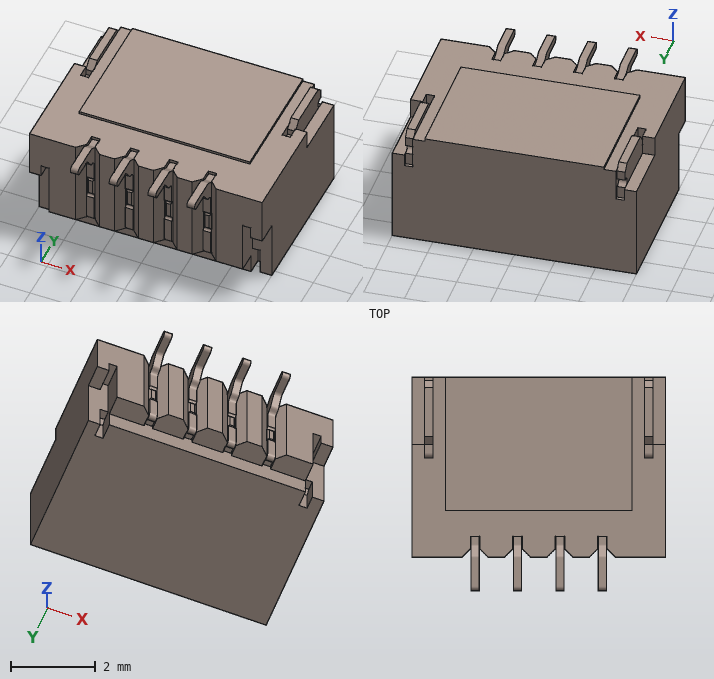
import cadquery as cq


WIDTH = 6.0
DEPTH = 4.26
HEIGHT = 2.84

PAD_WIDTH = 4.4
PAD_FRONT_Y = 1.11
PAD_HEIGHT = 0.065

UNDERCUT_DEPTH = 0.5
UNDERCUT_HEIGHT = 0.505

TAB_THICKNESS = 0.205
TAB_SIDE_MARGIN = 0.3
TAB_TOP = 2.95
TAB_BOTTOM = 2.05
TAB_BACK_GAP = 0.085
TAB_BACK_CHAMFER = 0.155
TAB_FRONT_CHAMFER = 0.2
TAB_FOOT_FRONT_Y = 2.345
TAB_FOOT_HEIGHT = 0.54
TAB_FOOT_RADIUS = 0.12
TAB_NOTCH_RADIUS = 0.11
TAB_NOTCH_Y = 4.115

SIDE_CUTOUT_FRONT_Y = 2.665
SIDE_CUTOUT_FLOOR = 2.35

CORNER_RECESS_DEPTH = 0.57
CORNER_OUTER_HEIGHT = 1.595
CORNER_INNER_HEIGHT = 1.91
CORNER_SLOT_HEIGHT = 0.695
CORNER_SLOT_BACK_Y = 0.9
CORNER_SLOT_CHAMFER = 0.11

PIN_COUNT = 4
PIN_PITCH = 1.0
PIN_WIDTH = 0.2
PIN_SLOT_WIDTH = 0.215
PIN_SLOT_DEPTH = UNDERCUT_DEPTH
V_MOUTH_WIDTH = 0.62
V_DEPTH = (V_MOUTH_WIDTH - PIN_SLOT_WIDTH) / 2

PIN_REACH = 0.79
PIN_TOP = 2.92
PIN_THICKNESS = 0.2
PIN_FACE_Y = 0.155
PIN_BACK_TOP = 2.76
PIN_RAMP_BOTTOM_Y = 0.27
PIN_RAMP_TOP_Y = 0.02
PIN_BEND_FILLET = 0.11
PIN_GUSSET_TAIL_Y = -0.24
PIN_GUSSET_BEND_Y = -0.02
PIN_GUSSET_BEND_Z = 2.43
PIN_GUSSET_BOTTOM_Z = 2.39

WAIST_TOP = 1.81
WAIST_BOTTOM = 1.23
WAIST_GROOVE_HEIGHT = 0.085
WAIST_GROOVE_RADIUS = 0.055
WAIST_SETBACK = 0.025
RIDGE_WIDTH = 0.1
RIDGE_CHAMFER = (PIN_WIDTH - RIDGE_WIDTH) / 2

EDGE_TOLERANCE = 0.005

SIDE_X = WIDTH / 2
TAB_OUTER_X = SIDE_X - TAB_SIDE_MARGIN
TAB_INNER_X = TAB_OUTER_X - TAB_THICKNESS
TAB_BACK_Y = DEPTH - TAB_BACK_GAP
PIN_XS = [(i - (PIN_COUNT - 1) / 2) * PIN_PITCH for i in range(PIN_COUNT)]


def box(x0, x1, y0, y1, z0, z1):
    """Block spanning the given coordinate ranges."""
    return cq.Workplane("XY").box(x1 - x0, y1 - y0, z1 - z0, centered=False).translate((x0, y0, z0))


def side_plate(outline, x0, x1):
    """Extrude a (Y, Z) outline from x0 to x1."""
    return cq.Workplane("YZ").polyline(outline).close().extrude(x1 - x0).translate((x0, 0, 0))


def cross_rod(radius, y, z, x0, x1):
    """Cylinder along X."""
    return cq.Workplane("YZ").center(y, z).circle(radius).extrude(x1 - x0).translate((x0, 0, 0))


def pin_slot():
    """Cutter for one pin slot, with its 45 degree mouth, centred on X = 0."""
    half_mouth = V_MOUTH_WIDTH / 2
    half_slot = PIN_SLOT_WIDTH / 2
    outline = [
        (-half_mouth, 0),
        (-half_slot, V_DEPTH),
        (-half_slot, PIN_SLOT_DEPTH),
        (half_slot, PIN_SLOT_DEPTH),
        (half_slot, V_DEPTH),
        (half_mouth, 0),
    ]
    return cq.Workplane("XY").polyline(outline).close().extrude(HEIGHT)


def tab_slot():
    """Cutter for the +X tab slot and the side cutout outside it."""
    slot = box(TAB_INNER_X, TAB_OUTER_X, TAB_FOOT_FRONT_Y, DEPTH, TAB_BOTTOM, HEIGHT)
    cutout = box(TAB_OUTER_X, SIDE_X, SIDE_CUTOUT_FRONT_Y, DEPTH, SIDE_CUTOUT_FLOOR, HEIGHT)
    return slot.union(cutout)


def corner_recess():
    """Cutter for the +X lower front corner."""
    outer = box(TAB_OUTER_X, SIDE_X, 0, CORNER_RECESS_DEPTH, 0, CORNER_OUTER_HEIGHT)
    inner = box(TAB_INNER_X, TAB_OUTER_X, 0, CORNER_RECESS_DEPTH, 0, CORNER_INNER_HEIGHT)
    slot_outline = [
        (0, 0),
        (CORNER_SLOT_BACK_Y, 0),
        (CORNER_SLOT_BACK_Y, CORNER_SLOT_HEIGHT - CORNER_SLOT_CHAMFER),
        (CORNER_SLOT_BACK_Y - CORNER_SLOT_CHAMFER, CORNER_SLOT_HEIGHT),
        (0, CORNER_SLOT_HEIGHT),
    ]
    return outer.union(inner).union(side_plate(slot_outline, TAB_INNER_X, TAB_OUTER_X))


def waist_cutter():
    """Cutter that leaves a chamfered ridge and two grooves in the pin face."""
    half_pin = PIN_WIDTH / 2
    half_ridge = RIDGE_WIDTH / 2
    ridge_y = PIN_FACE_Y + WAIST_SETBACK
    outline = [
        (-half_pin, PIN_FACE_Y),
        (-half_pin, ridge_y + RIDGE_CHAMFER),
        (-half_ridge, ridge_y),
        (half_ridge, ridge_y),
        (half_pin, ridge_y + RIDGE_CHAMFER),
        (half_pin, PIN_FACE_Y),
    ]
    cutter = (
        cq.Workplane("XY")
        .polyline(outline)
        .close()
        .extrude(WAIST_TOP - WAIST_BOTTOM - WAIST_GROOVE_HEIGHT)
        .translate((0, 0, WAIST_BOTTOM + WAIST_GROOVE_HEIGHT / 2))
    )
    for groove_top in (WAIST_TOP, WAIST_BOTTOM + WAIST_GROOVE_HEIGHT):
        groove_z = groove_top - WAIST_GROOVE_HEIGHT / 2
        cutter = cutter.union(cross_rod(WAIST_GROOVE_RADIUS, PIN_FACE_Y, groove_z, -half_pin, half_pin))
    return cutter


def pin_edge_at(y, z):
    """Selector for the pin edge that runs across its width at the given corner of its profile."""
    low = (-PIN_WIDTH, y - EDGE_TOLERANCE, z - EDGE_TOLERANCE)
    high = (PIN_WIDTH, y + EDGE_TOLERANCE, z + EDGE_TOLERANCE)
    return cq.selectors.BoxSelector(low, high)


def pin():
    """One contact pin centred on X = 0: an upright bar with a solder tail at its top."""
    end_radius = PIN_THICKNESS / 2
    half_width = PIN_WIDTH / 2
    tail_bottom = PIN_TOP - PIN_THICKNESS
    tip_y = end_radius - PIN_REACH
    foot_z = UNDERCUT_HEIGHT + end_radius
    outline = [
        (PIN_SLOT_DEPTH, foot_z),
        (PIN_SLOT_DEPTH, PIN_BACK_TOP),
        (PIN_RAMP_BOTTOM_Y, PIN_BACK_TOP),
        (PIN_RAMP_TOP_Y, PIN_TOP),
        (tip_y, PIN_TOP),
        (tip_y, tail_bottom),
        (PIN_GUSSET_TAIL_Y, tail_bottom),
        (PIN_GUSSET_BEND_Y, PIN_GUSSET_BEND_Z),
        (PIN_FACE_Y, PIN_GUSSET_BOTTOM_Z),
        (PIN_FACE_Y, foot_z),
    ]
    body = side_plate(outline, -half_width, half_width)
    bends = [
        (PIN_RAMP_TOP_Y, PIN_TOP),
        (PIN_RAMP_BOTTOM_Y, PIN_BACK_TOP),
        (PIN_GUSSET_TAIL_Y, tail_bottom),
        (PIN_GUSSET_BEND_Y, PIN_GUSSET_BEND_Z),
        (PIN_FACE_Y, PIN_GUSSET_BOTTOM_Z),
    ]
    for y, z in bends:
        body = body.edges(pin_edge_at(y, z)).fillet(PIN_BEND_FILLET)
    tip = cross_rod(end_radius, tip_y, PIN_TOP - end_radius, -half_width, half_width)
    foot = cross_rod(end_radius, PIN_FACE_Y + end_radius, foot_z, -half_width, half_width)
    return body.union(tip).union(foot).cut(waist_cutter())


def make_housing():
    """Housing block with its pad, recesses and moulded-in pins."""
    body = box(-SIDE_X, SIDE_X, 0, DEPTH, 0, HEIGHT)
    pad = box(-PAD_WIDTH / 2, PAD_WIDTH / 2, PAD_FRONT_Y, DEPTH, HEIGHT, HEIGHT + PAD_HEIGHT)
    body = body.union(pad)
    body = body.cut(box(-SIDE_X, SIDE_X, 0, UNDERCUT_DEPTH, 0, UNDERCUT_HEIGHT))
    for cutter in (tab_slot(), corner_recess()):
        body = body.cut(cutter).cut(cutter.mirror("YZ"))
    for x in PIN_XS:
        body = body.cut(pin_slot().translate((x, 0, 0)))
    for x in PIN_XS:
        body = body.union(pin().translate((x, 0, 0)))
    return body


def make_tab():
    """The +X retaining tab."""
    foot_top = TAB_BOTTOM + TAB_FOOT_HEIGHT
    outline = [
        (TAB_FOOT_FRONT_Y, TAB_BOTTOM),
        (TAB_BACK_Y, TAB_BOTTOM),
        (TAB_BACK_Y, TAB_TOP - TAB_BACK_CHAMFER),
        (TAB_BACK_Y - TAB_BACK_CHAMFER, TAB_TOP),
        (SIDE_CUTOUT_FRONT_Y + TAB_FRONT_CHAMFER, TAB_TOP),
        (SIDE_CUTOUT_FRONT_Y, TAB_TOP - TAB_FRONT_CHAMFER),
        (SIDE_CUTOUT_FRONT_Y, foot_top),
        (TAB_FOOT_FRONT_Y, foot_top),
    ]
    body = side_plate(outline, TAB_INNER_X, TAB_OUTER_X)
    body = body.faces("<Y").edges(">Z").fillet(TAB_FOOT_RADIUS)
    notch_z = SIDE_CUTOUT_FLOOR + TAB_NOTCH_RADIUS
    notch = cross_rod(TAB_NOTCH_RADIUS, TAB_NOTCH_Y, notch_z, TAB_INNER_X, TAB_OUTER_X)
    notch_top = notch_z + TAB_NOTCH_RADIUS
    opening = box(TAB_INNER_X, TAB_OUTER_X, TAB_NOTCH_Y, TAB_BACK_Y, SIDE_CUTOUT_FLOOR, notch_top)
    return body.cut(notch).cut(opening)


housing = make_housing()
right_tab = make_tab()
tabs = [right_tab, right_tab.mirror("YZ")]

result = cq.Compound.makeCompound([housing.solids().val(), *[tab.solids().val() for tab in tabs]])